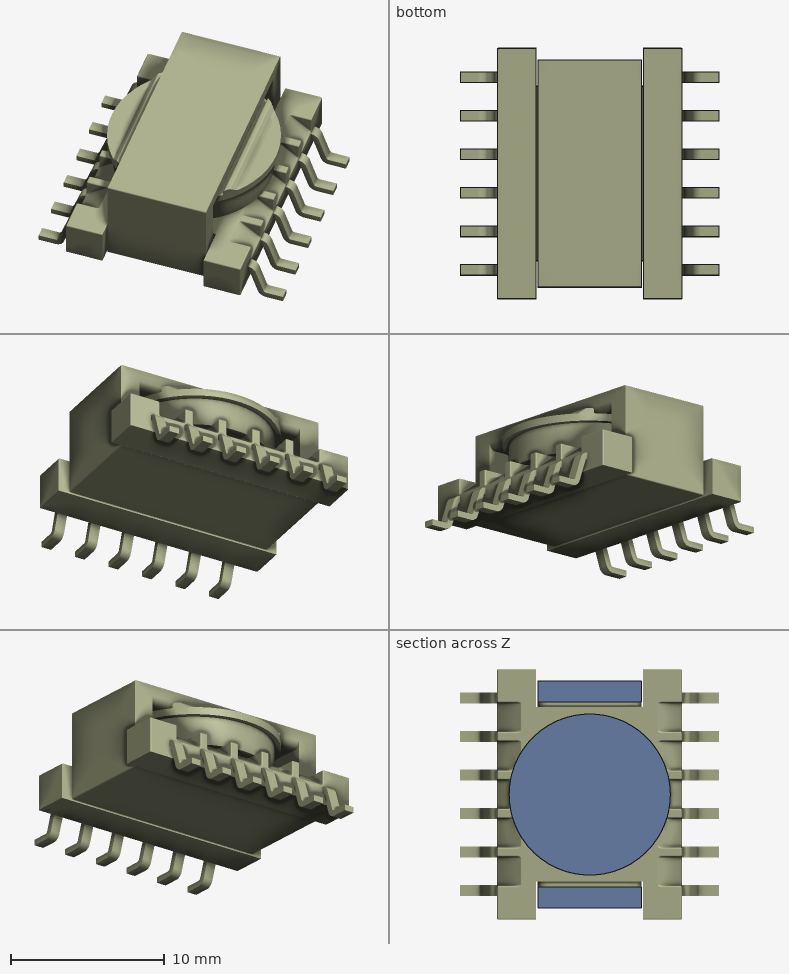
import cadquery as cq
import math

overall_length = 16.8

core_width = 6.75
core_length = 14.78
core_top = 7.45
core_bottom = 1.33
core_edge_radius = 0.08
window_length = 12.0
window_edge_radius = 0.52

flange_diameter = 11.3
flange_top = 6.18
flange_bottom = 5.68
winding_diameter = 10.5

ridge_inner_x = 3.51
ridge_foot_x = 4.25
ridge_height = 0.37
ridge_edge_radius = 0.15

rail_outer_x = 6.0
rail_inner_x = 3.48
rail_length = 16.3
rail_top = 3.71
rail_bottom = 1.26
rail_edge_radius = 0.08
web_length = 11.35
web_bottom = 3.21

pins_per_side = 6
pin_pitch = 2.5
pin_width = 0.7
pin_thickness = 0.4
pin_root_height = 2.27
knee_x = 6.95
shoulder_x = 6.25
pin_embed = 0.17
bend_inner_radius = 0.2

notch_width = 1.92
notch_depth = 1.55
notch_front_height = 2.59
notch_corner_radius = 0.1


def block(x_min, x_max, length_y, z_min, z_max):
    """Box centred on Y."""
    return (
        cq.Workplane("XY", origin=(0, 0, z_min))
        .center((x_min + x_max) / 2, 0)
        .rect(x_max - x_min, length_y)
        .extrude(z_max - z_min)
    )


def disc(diameter, z_min, z_max):
    return cq.Workplane("XY", origin=(0, 0, z_min)).circle(diameter / 2).extrude(z_max - z_min)


def extrude_along_y(outline, width):
    """Closed XZ outline extruded symmetrically about Y = 0."""
    return cq.Workplane("XZ").polyline(outline).close().extrude(width / 2, both=True)


def make_core():
    """Closed frame around the bobbin; its upper yoke rests on the top flange."""
    half_width = core_width / 2
    window_top = flange_top
    window_bottom = core_bottom + core_top - window_top
    outer = block(-half_width, half_width, core_length, core_bottom, core_top)
    outer = outer.edges("|X").fillet(core_edge_radius)
    core = outer.cut(block(-half_width, half_width, window_length, window_bottom, window_top))
    return core.edges("|Y").edges("not (>Z or <Z)").fillet(window_edge_radius)


def make_ridge(crest):
    """Bar with a sloped outer side, carried down through the flange."""
    crest_outer_x = ridge_foot_x - ridge_height
    outline = [
        (ridge_inner_x, flange_bottom),
        (ridge_inner_x, crest),
        (crest_outer_x, crest),
        (ridge_foot_x, flange_top),
        (ridge_foot_x, flange_bottom),
    ]
    ridge = extrude_along_y(outline, flange_diameter)
    return ridge.faces(">Z").edges("|Y").fillet(ridge_edge_radius)


def make_flange():
    """Top flange with its two ridges, trimmed to one round rim."""
    crest = flange_top + ridge_height
    half_width = flange_diameter / 2
    plate = block(-half_width, half_width, flange_diameter, flange_bottom, flange_top)
    ridge = make_ridge(crest)
    plate = plate.union(ridge).union(ridge.mirror("YZ"))
    for side in (-1, 1):
        foot = cq.selectors.NearestToPointSelector((side * ridge_foot_x, 0, flange_top))
        plate = plate.edges("|Y").edges(foot).fillet(ridge_edge_radius)
    return plate.intersect(disc(flange_diameter, flange_bottom, crest))


def make_notch():
    """Cutter whose floor slopes down from the rail top to the outer face."""
    back_x = rail_outer_x - notch_depth
    slope = (rail_top - notch_front_height) / notch_depth
    overshoot = 0.34
    outline = [
        (rail_outer_x + overshoot, notch_front_height - slope * overshoot),
        (back_x, rail_top),
        (back_x, rail_top + overshoot),
        (rail_outer_x + overshoot, rail_top + overshoot),
    ]
    notch = extrude_along_y(outline, notch_width)
    return notch.faces("<Z").edges("not |Y").fillet(notch_corner_radius)


def make_pin():
    """Gull-wing pin: foot on Z = 0, sloped leg, short root set into the rail."""
    half = pin_thickness / 2
    tip_x = overall_length / 2
    root_x = rail_outer_x - pin_embed
    bend_angle = math.atan2(pin_root_height - half, knee_x - shoulder_x)
    mitre = half * math.tan(bend_angle / 2)
    knee_inside = (knee_x + mitre, pin_thickness)
    knee_outside = (knee_x - mitre, 0)
    shoulder_inside = (shoulder_x - mitre, pin_root_height - half)
    shoulder_outside = (shoulder_x + mitre, pin_root_height + half)
    outline = [
        (tip_x, 0),
        (tip_x, pin_thickness),
        knee_inside,
        shoulder_outside,
        (root_x, pin_root_height + half),
        (root_x, pin_root_height - half),
        shoulder_inside,
        knee_outside,
    ]
    pin = extrude_along_y(outline, pin_width)
    bends = [
        (knee_inside, bend_inner_radius),
        (shoulder_inside, bend_inner_radius),
        (knee_outside, bend_inner_radius + pin_thickness),
        (shoulder_outside, bend_inner_radius + pin_thickness),
    ]
    for (x, z), radius in bends:
        nearest = cq.selectors.NearestToPointSelector((x, 0, z))
        pin = pin.edges("|Y").edges(nearest).fillet(radius)
    return pin


def evenly_spaced(count):
    """Y positions of a row at the pin pitch, centred on Y = 0."""
    return [(i - (count - 1) / 2) * pin_pitch for i in range(count)]


def round_rail_edges(rail):
    """Round the edges of the top and outer faces, keeping the inner and bottom edges sharp."""
    exposed = rail.faces(">Z or >X").edges("not (<X or <Z)")
    return exposed.fillet(rail_edge_radius)


def make_terminal_side():
    """Rail with its notches and pins on the +X side."""
    rail = block(rail_inner_x, rail_outer_x, rail_length, rail_bottom, rail_top)
    notch = make_notch()
    for y in evenly_spaced(pins_per_side - 1):
        rail = rail.cut(notch.translate((0, y, 0)))
    rail = round_rail_edges(rail)
    pin = make_pin()
    for y in evenly_spaced(pins_per_side):
        rail = rail.union(pin.translate((0, y, 0)))
    return rail


terminal_side = make_terminal_side()
web = block(-rail_inner_x, rail_inner_x, web_length, web_bottom, rail_top)
winding = disc(winding_diameter, rail_top, flange_bottom)

result = (
    web.union(terminal_side)
    .union(terminal_side.mirror("YZ"))
    .union(winding)
    .union(make_flange())
    .union(make_core())
)